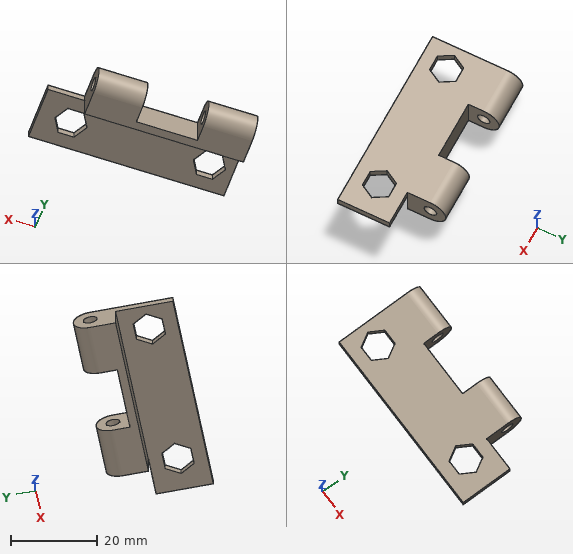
import cadquery as cq
import math

leaf_length = 48.0
leaf_width = 13.5
leaf_thickness = 2.0

barrel_radius = 4.0
pin_hole_diameter = 3.2
hinge_height = 2 * barrel_radius
pin_setback = 6.0
pin_y = leaf_width + pin_setback
pin_z = barrel_radius

knuckle_length = 12.0
knuckle_gap = 15.0
web_thickness = 2.0
hinge_length = 2 * knuckle_length + knuckle_gap

hex_across_flats = 6.8
hex_sides = 6
hex_across_corners = hex_across_flats / math.cos(math.pi / hex_sides)
hex_y = leaf_width / 2
hex_x_positions = (6.0, 40.0)


def make_leaf():
    """Flat plate whose top is flush with the top of the barrel."""
    return cq.Workplane("XY").box(leaf_length, leaf_width, leaf_thickness, centered=False).translate(
        (0, 0, hinge_height - leaf_thickness)
    )


def make_hinge():
    """Block behind the leaf, rounded along its back to form the barrel."""
    return (
        cq.Workplane("YZ")
        .moveTo(leaf_width, 0)
        .lineTo(pin_y, 0)
        .threePointArc((pin_y + barrel_radius, pin_z), (pin_y, hinge_height))
        .lineTo(leaf_width, hinge_height)
        .close()
        .extrude(hinge_length)
    )


def make_knuckle_gap():
    """Clearance between the two knuckles, stopping at the web."""
    gap_depth = pin_y + barrel_radius - leaf_width - web_thickness
    return cq.Workplane("XY").box(knuckle_gap, gap_depth, hinge_height, centered=False).translate(
        (knuckle_length, leaf_width + web_thickness, 0)
    )


def make_pin_hole():
    """Pin bore running through both knuckles."""
    return cq.Workplane("YZ").center(pin_y, pin_z).circle(pin_hole_diameter / 2).extrude(hinge_length)


def make_hex_openings():
    """Hexagonal cutters with two corners pointing along X."""
    return (
        cq.Workplane("XY")
        .pushPoints([(x, hex_y) for x in hex_x_positions])
        .polygon(hex_sides, hex_across_corners)
        .extrude(hinge_height)
    )


result = (
    make_leaf()
    .union(make_hinge())
    .cut(make_knuckle_gap())
    .cut(make_pin_hole())
    .cut(make_hex_openings())
)